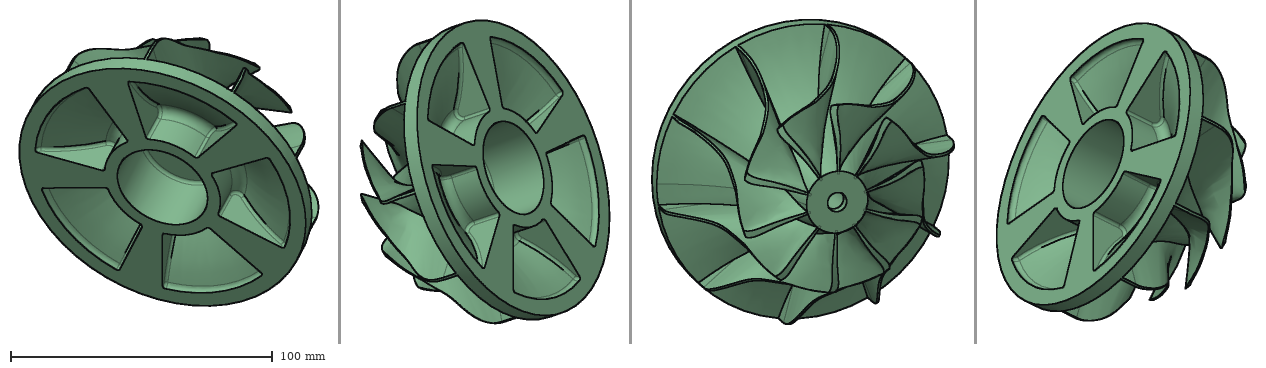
import cadquery as cq
import math


disc_radius = 58.4
disc_thickness = 6.4
height = 50.8
hub_top_radius = 12.3
hub_flank_arc = 65.5
hub_flank_middle_height = 25.7

bore_diameter = 36.8
bore_depth = 25.4
bore_fillet = 1.3
nose_recess_radius = 6.2
nose_wall = 4.1
nose_hole_diameter = 7.6

blade_count = 10
blade_start_angle = 27
blade_thickness = 1.2
inlet_edge_thickness = 0.7
blade_wrap = 43
root_steady_share = 0.35
root_steepness = 4
tip_steepness = 4.5
straight_height = 12.9
inlet_height = 46.2
inlet_radius = 37.2
inlet_flat_radius = 14
shroud_points = [(57.3, 18.7), (54.3, 24.0), (48.1, 30.1), (42.2, 35), (38.6, 39.5)]
root_overlap = 1.0
tip_overlap = 3.5

pocket_count = 5
pocket_start_angle = -90
pocket_span = 52
pocket_inner_radius = 23.6
pocket_outer_radius = 52.0
pocket_inner_depth = 19.9
pocket_outer_depth = 2.0
pocket_roof_middle = (35, 10.0)
pocket_inner_fillet = 3.2
pocket_outer_fillet = 2.1
pocket_side_fillet = 1.2


def revolved(profile):
    """Turn a closed (radius, height) profile all the way round the Y axis."""
    return profile.close().revolve(360, (0, 0, 0), (0, 1, 0))


def rotated(body, angle):
    """Turn a body about Y by an angle counted from +X towards +Z."""
    return body.rotate((0, 0, 0), (0, 1, 0), -angle)


def polar(radius, angle, y):
    """Point at a radius and angle around Y."""
    turn = math.radians(angle)
    return cq.Vector(radius * math.cos(turn), y, radius * math.sin(turn))


def hub_radius(y):
    """Radius of the hollow hub flank, an arc from the disc rim to the hub top."""
    run = disc_radius - hub_top_radius
    rise = height - disc_thickness
    chord = math.hypot(run, rise)
    offset = math.sqrt(hub_flank_arc**2 - (chord / 2) ** 2)
    centre_radius = (disc_radius + hub_top_radius) / 2 + offset * rise / chord
    centre_height = (disc_thickness + height) / 2 + offset * run / chord
    return centre_radius - math.sqrt(hub_flank_arc**2 - (y - centre_height) ** 2)


def hub_sweep(y):
    """Angle the blade root has turned through at height y; gentle low down, steep at the inlet."""
    rise = (y - disc_thickness) / (height - disc_thickness)
    steady_part = root_steady_share * rise
    steep_part = (1 - root_steady_share) * rise**root_steepness
    return blade_wrap * (steady_part + steep_part)


def tip_sweep(y):
    """Angle the blade tip has turned through at height y; none below the straight part."""
    rise = (y - straight_height) / (inlet_height - straight_height)
    return blade_wrap * min(max(rise, 0), 1) ** tip_steepness


def half_turn(radius, sweep, y):
    """Half the angle the blade covers on a level cut; it grows where the blade leans over."""
    step = 0.1
    taper = (y - straight_height) / (height - straight_height)
    thickness = blade_thickness + taper * (inlet_edge_thickness - blade_thickness)
    lean = radius * math.radians(sweep(y) - sweep(y - step)) / step
    return math.degrees(thickness / 2 * math.hypot(1, lean) / radius)


def blade_section(shroud_radius, y):
    """Level quadrilateral from inside the hub to outside the shroud."""
    root = hub_radius(y) - root_overlap
    tip = shroud_radius + tip_overlap
    root_angle = -hub_sweep(y)
    stretch = (tip - root) / (shroud_radius - root)
    tip_angle = root_angle + stretch * (-tip_sweep(y) - root_angle)
    root_turn = half_turn(root, hub_sweep, y)
    tip_turn = half_turn(tip, tip_sweep, min(y, inlet_height))
    corners = [
        polar(root, root_angle - root_turn, y),
        polar(tip, tip_angle - tip_turn, y),
        polar(tip, tip_angle + tip_turn, y),
        polar(root, root_angle + root_turn, y),
    ]
    return cq.Wire.makePolygon(corners, close=True)


def make_hub():
    flank_middle = (hub_radius(hub_flank_middle_height), hub_flank_middle_height)
    return revolved(
        cq.Workplane("XY")
        .lineTo(disc_radius, 0)
        .lineTo(disc_radius, disc_thickness)
        .threePointArc(flank_middle, (hub_top_radius, height))
        .lineTo(0, height)
    )


def make_shroud():
    """Envelope that trims the blade tips and the domed inlet edges."""
    drop = height - inlet_height
    run = inlet_radius - inlet_flat_radius
    dome = (run**2 + drop**2) / (2 * drop)
    half = math.asin(run / dome) / 2
    mid = (inlet_flat_radius + dome * math.sin(half), height - dome * (1 - math.cos(half)))
    curve = [*shroud_points, (inlet_radius, inlet_height)]
    upward = (0, 1)
    return revolved(
        cq.Workplane("XY")
        .lineTo(disc_radius, 0)
        .lineTo(disc_radius, straight_height)
        .spline(curve, tangents=[upward, upward], includeCurrent=True)
        .threePointArc(mid, (inlet_flat_radius, height))
        .lineTo(0, height)
    )


def make_blade():
    """Straight foot with a twisted loft on it, trimmed to the shroud."""
    inlet_tips = [(inlet_radius, inlet_height), (inlet_radius, height)]
    tips = [(disc_radius, straight_height), *shroud_points, *inlet_tips]
    sections = [blade_section(radius, y) for radius, y in tips]
    foot_drop = cq.Vector(0, disc_thickness - straight_height, 0)
    foot = cq.Solid.extrudeLinear(sections[0], [], foot_drop)
    twisted = cq.Solid.makeLoft(sections)
    return cq.Workplane(twisted).union(cq.Workplane(foot)).intersect(make_shroud())


def make_pocket():
    """Sector pocket whose curved roof follows the hollow hub flank."""
    pocket = (
        cq.Workplane("XY")
        .moveTo(pocket_inner_radius, 0)
        .lineTo(pocket_inner_radius, pocket_inner_depth)
        .threePointArc(pocket_roof_middle, (pocket_outer_radius, pocket_outer_depth))
        .lineTo(pocket_outer_radius, 0)
        .close()
        .revolve(pocket_span, (0, 0, 0), (0, 1, 0))
    )
    middle = math.radians(pocket_span / 2)

    def roof_corner(radius, depth):
        return cq.selectors.NearestToPointSelector(
            (radius * math.cos(middle), depth, -radius * math.sin(middle))
        )

    pocket = pocket.edges(roof_corner(pocket_inner_radius, pocket_inner_depth)).fillet(pocket_inner_fillet)
    pocket = pocket.edges(roof_corner(pocket_outer_radius, pocket_outer_depth)).fillet(pocket_outer_fillet)
    pocket = pocket.edges("not(<Y)").fillet(pocket_side_fillet)
    return rotated(pocket, pocket_start_angle + pocket_span)


def make_bore():
    """Shaft bore with a rounded floor, and the stepped hole on through the nose."""
    bore = (
        cq.Workplane("XZ")
        .circle(bore_diameter / 2)
        .extrude(-bore_depth)
        .faces(">Y")
        .edges()
        .fillet(bore_fillet)
    )
    recess = cq.Workplane("XZ").circle(nose_recess_radius).extrude(-(height - nose_wall))
    hole = cq.Workplane("XZ").circle(nose_hole_diameter / 2).extrude(-height)
    return bore.union(recess).union(hole)


def repeated(body, count, start_angle=0):
    """Shapes of a body spaced evenly around Y."""
    return [rotated(body, start_angle + i * 360 / count).val() for i in range(count)]


blades = repeated(make_blade(), blade_count, blade_start_angle)
pockets = repeated(make_pocket(), pocket_count)
impeller = make_hub().val().cut(make_bore().val(), *pockets).fuse(*blades)
result = cq.Workplane(impeller).solids()